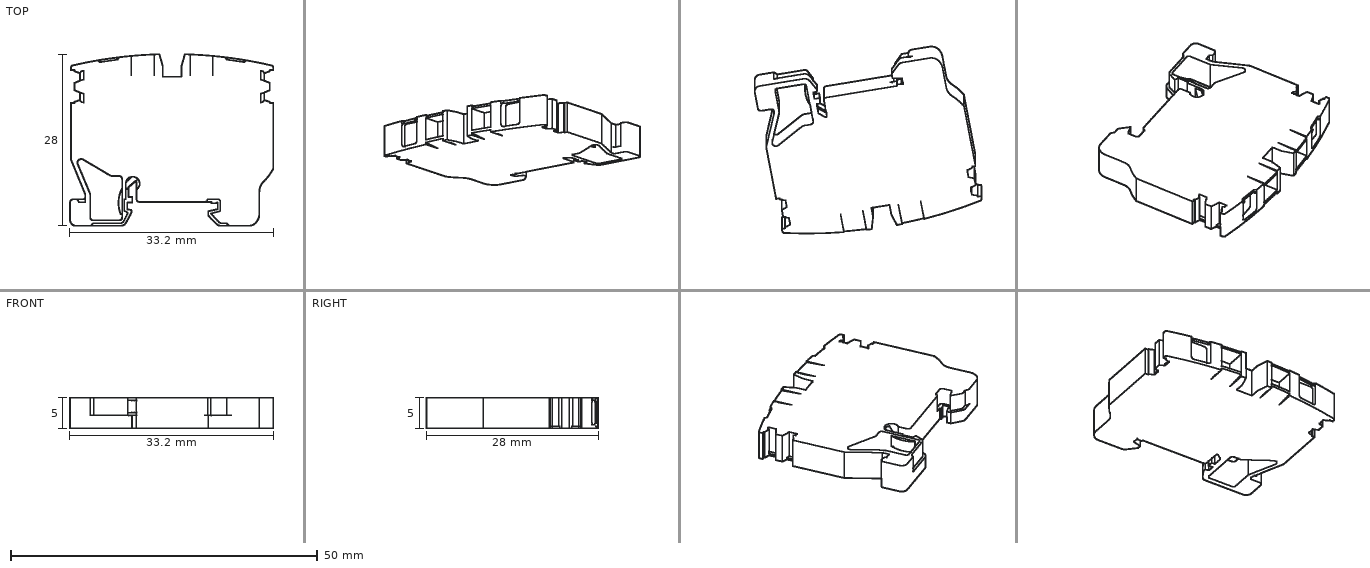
import cadquery as cq
import math

LENGTH = 33.2
HEIGHT = 28.03
THICKNESS = 5.0
MARGIN = 2.0

BODY_LEFT = 0.15
CENTER_X = (BODY_LEFT + LENGTH) / 2
CROWN_RADIUS = 71.8
CROWN_TIP_RADIUS = 0.4
TIP_Y = 26.2
RAIL_Y = 3.9
FOOT_TOP_Y = 4.37
RIGHT_FOOT_X = 30.93

NOTCH_HALF_WIDTH = 1.5
NOTCH_MOUTH_HALF_WIDTH = 2.07
NOTCH_FLOOR_Y = 24.34
NOTCH_FLARE_Y = 26.04

GROOVE_MID_Y = 22.73
GROOVE_FLOOR_Z = 0.34
GROOVE_DEPTH = 1.47
UNDERCUT_DEPTH = 2.08

RECESS_Z = 2.1
WALL_STEP = 0.47

LATCH_INNER_X = 8.5
LATCH_RECESS_X = 9.1
SLOT_RIGHT_X = 10.86
SLOT_CAP_CENTER = (10.24, 6.89)
SLOT_CAP_RADIUS = 1.14
CLIP_Z = 2.57
CLIP_THICKNESS = 2.0

FOOT_POCKET_Z = 1.1
ARM_X = 2.48

ENTRY_INNER_OFFSET = 2.95
ENTRY_WIDTH = 3.69
ENTRY_FLOOR_Y = 24.56
ENTRY_Z = 0.8
ENTRY_HEIGHT = 3.65
LEAD_IN_TOP_DEPTH = 0.2
LEAD_IN_BOTTOM_DEPTH = 0.35

MARKER_LOW_Z = 0.58
MARKER_HIGH_Z = 4.55
MARKER_FLOOR_Y = 26.3
MARKER_CORNER_RADIUS = 0.45


def corner(vertex, before, after, radius):
    """Start, middle and end point of the tangent arc rounding one corner."""
    angle_in = math.atan2(before[1] - vertex[1], before[0] - vertex[0])
    angle_out = math.atan2(after[1] - vertex[1], after[0] - vertex[0])
    half = abs(math.remainder(angle_out - angle_in, 2 * math.pi)) / 2
    bisector = angle_in + math.remainder(angle_out - angle_in, 2 * math.pi) / 2

    def along(angle, distance):
        return (vertex[0] + distance * math.cos(angle), vertex[1] + distance * math.sin(angle))

    tangent_length = radius / math.tan(half)
    middle_distance = radius / math.sin(half) - radius
    return along(angle_in, tangent_length), along(bisector, middle_distance), along(angle_out, tangent_length)


def prism(points, z_low, z_high):
    """Extrude an outline of (x, y) or (x, y, corner radius) points."""
    arcs = []
    for index, point in enumerate(points):
        radius = point[2] if len(point) == 3 else 0
        if radius:
            arcs.append(corner(point, points[index - 1], points[(index + 1) % len(points)], radius))
        else:
            arcs.append((point,))
    sketch = cq.Workplane("XY").workplane(offset=z_low).moveTo(*arcs[0][-1])
    for arc in arcs[1:]:
        sketch = sketch.lineTo(*arc[0])
        if len(arc) == 3:
            sketch = sketch.threePointArc(arc[1], arc[2])
    if len(arcs[0]) == 3:
        sketch = sketch.lineTo(*arcs[0][0]).threePointArc(arcs[0][1], arcs[0][2])
    return sketch.close().extrude(z_high - z_low)


def both_sides(solid):
    """The solid together with its mirror image across the centre plane."""
    return solid.union(solid.mirror("YZ", (CENTER_X, 0, 0)))


def crown_y(x):
    """Height of the crown arc; the notch mouth corners are its highest points."""
    mouth_drop = CROWN_RADIUS - math.sqrt(CROWN_RADIUS**2 - NOTCH_MOUTH_HALF_WIDTH**2)
    drop = CROWN_RADIUS - math.sqrt(CROWN_RADIUS**2 - (x - CENTER_X) ** 2)
    return HEIGHT + mouth_drop - drop


def body():
    outline = [
        (0, 0, 1.0),
        (8.91, 0, 1.07),
        (10.12, 2.3, 0.1),
        (10.0, 2.62),
        (9.39, 2.72),
        (9.39, 3.8),
        (10.2, 3.8),
        (10.2, 4.75),
        (9.58, 4.75),
        (9.58, 6.4),
        (SLOT_RIGHT_X, 7.51, 0.2),
        (SLOT_RIGHT_X, RAIL_Y, 0.45),
        (23.08, RAIL_Y),
        (23.08, 3.67),
        (23.8, 3.67),
        (24.1, 3.82),
        (24.1, 2.75),
        (22.55, 2.4, 0.1),
        (22.55, 1.68),
        (24.22, 0, 0.9),
        (29.9, 0, 1.56),
        (RIGHT_FOOT_X, 1.2, 2.16),
        (RIGHT_FOOT_X, 6.5, 2.3),
        (32.4, 8.05, 7.0),
        (LENGTH, 9.3),
        (LENGTH, HEIGHT + MARGIN),
        (BODY_LEFT, HEIGHT + MARGIN),
        (BODY_LEFT, 10.83),
        (ARM_X, 5.15),
        (ARM_X, FOOT_TOP_Y, 0.3),
        (0, FOOT_TOP_Y, 0.55),
    ]
    crown_center_y = crown_y(CENTER_X) - CROWN_RADIUS
    crown = cq.Workplane("XY").center(CENTER_X, crown_center_y).circle(CROWN_RADIUS).extrude(THICKNESS)
    solid = prism(outline, 0, THICKNESS).intersect(crown)
    tips = cq.selectors.BoxSelector(
        (-MARGIN, TIP_Y - MARGIN, -MARGIN),
        (LENGTH + MARGIN, TIP_Y + MARGIN, THICKNESS + MARGIN),
    )
    return solid.edges("|Z").edges(tips).fillet(CROWN_TIP_RADIUS)


def crown_notch():
    half_outline = [
        (NOTCH_HALF_WIDTH, NOTCH_FLOOR_Y),
        (NOTCH_HALF_WIDTH, NOTCH_FLARE_Y),
        (NOTCH_MOUTH_HALF_WIDTH, HEIGHT),
        (NOTCH_MOUTH_HALF_WIDTH, HEIGHT + MARGIN),
    ]
    right = [(CENTER_X + x, y) for x, y in half_outline]
    left = [(CENTER_X - x, y) for x, y in reversed(half_outline)]
    return prism(right + left, 0, THICKNESS)


def side_grooves():
    """A double groove with a rib between, undercut above a thin bottom ledge."""
    mouth_half = 2.67
    floor_near, floor_far = 0.97, 2.17
    upper_half = [
        (0.57, 0.0),
        (0.57, 0.6),
        (GROOVE_DEPTH, floor_near),
        (GROOVE_DEPTH, floor_far),
        (0.56, 2.5),
        (0.56, mouth_half),
        (-MARGIN, mouth_half),
        (-MARGIN, 0.0),
    ]
    overlap_depth = GROOVE_DEPTH - 0.1
    undercut_half = [
        (overlap_depth, floor_near),
        (GROOVE_DEPTH, floor_near),
        (UNDERCUT_DEPTH, 1.15),
        (UNDERCUT_DEPTH, 2.6),
        (1.66, 2.48),
        (GROOVE_DEPTH, floor_far),
        (overlap_depth, floor_far),
    ]
    grooves = cq.Workplane("XY")
    for direction in (1, -1):
        for half, z_low in ((upper_half, 0), (undercut_half, GROOVE_FLOOR_Z)):
            outline = [(BODY_LEFT + depth, GROOVE_MID_Y + direction * y) for depth, y in half]
            grooves = grooves.union(prism(outline, z_low, THICKNESS))
    return both_sides(grooves)


def spring_window():
    """Through opening that frees the spring arm and the latch."""
    arm_inner_x = 3.33
    outline = [
        (arm_inner_x, 0.95, 0.4),
        (LATCH_INNER_X, 0.95, 0.4),
        (LATCH_INNER_X, 8.13, 0.5),
        (6.7, 8.13, 1.0),
        (0.6, 11.73, 0.6),
        (arm_inner_x, 5.2),
    ]
    return prism(outline, 0, THICKNESS)


def latch_recess():
    """Upper part of the latch set back from the lower outline, with a round slot end."""
    outline = [
        (3.35, -MARGIN),
        (3.35, 0),
        (3.85, WALL_STEP),
        (8.65, WALL_STEP, 0.5),
        (9.46, 2.15),
        (8.84, 2.49),
        (8.84, FOOT_TOP_Y),
        (LATCH_RECESS_X, FOOT_TOP_Y),
        (LATCH_RECESS_X, SLOT_CAP_CENTER[1]),
        (SLOT_RIGHT_X, SLOT_CAP_CENTER[1]),
        (SLOT_RIGHT_X, -MARGIN),
    ]
    cap = cq.Workplane("XY").workplane(offset=RECESS_Z).center(*SLOT_CAP_CENTER).circle(SLOT_CAP_RADIUS)
    return prism(outline, RECESS_Z, THICKNESS).union(cap.extrude(THICKNESS - RECESS_Z))


def spring_clip():
    """Slanted web across the round slot end and the bulge inside the window."""
    web = [(9.0, 6.98), (10.2, 8.14), (11.2, 7.69), (9.0, 5.8)]
    root_x = LATCH_INNER_X + 0.1
    bulge_end_y = 1.87
    bulge = (
        cq.Workplane("XY")
        .workplane(offset=CLIP_Z)
        .moveTo(root_x, 6.3)
        .threePointArc((7.9, 3.75), (8.28, bulge_end_y))
        .lineTo(root_x, bulge_end_y)
        .close()
        .extrude(CLIP_THICKNESS)
    )
    return prism(web, CLIP_Z, CLIP_Z + CLIP_THICKNESS).union(bulge)


def hook_recess():
    """Upper part of the fixed rail hook set back from the lower outline."""
    outline = [
        (21.9, RAIL_Y),
        (22.35, RAIL_Y, 0.48),
        (22.47, FOOT_TOP_Y),
        (24.55, FOOT_TOP_Y, 0.45),
        (24.55, 2.42, 0.2),
        (23.0, 2.02),
        (24.45, WALL_STEP, 0.45),
        (25.55, WALL_STEP),
        (25.85, 0, 0.8),
        (26.4, 0),
        (26.4, -MARGIN),
        (21.9, -MARGIN),
    ]
    return prism(outline, RECESS_Z, THICKNESS)


def foot_pocket():
    """Shallow step in the top of the foot, beside the spring arm."""
    step_left_x = 1.15
    above_fillet_y = FOOT_TOP_Y + 0.5
    outline = [
        (step_left_x, FOOT_TOP_Y),
        (1.45, RAIL_Y),
        (ARM_X, RAIL_Y),
        (ARM_X, above_fillet_y),
        (step_left_x, above_fillet_y),
    ]
    return prism(outline, FOOT_POCKET_Z, THICKNESS)


def wire_entries():
    """Rectangular entries from the crown, with inclined faces above and below."""
    left_x = CENTER_X - ENTRY_INNER_OFFSET - ENTRY_WIDTH
    depth = HEIGHT - ENTRY_FLOOR_Y + MARGIN
    slope_scale = depth / (HEIGHT - ENTRY_FLOOR_Y)
    entry = cq.Workplane("XY").box(ENTRY_WIDTH, depth, ENTRY_HEIGHT, centered=False)
    entry = entry.translate((left_x, ENTRY_FLOOR_Y, ENTRY_Z))
    faces = ((THICKNESS, -LEAD_IN_TOP_DEPTH), (0, LEAD_IN_BOTTOM_DEPTH))
    for face_z, drop in faces:
        wedge = (
            cq.Workplane("YZ")
            .workplane(offset=left_x)
            .moveTo(ENTRY_FLOOR_Y, face_z)
            .lineTo(ENTRY_FLOOR_Y + depth, face_z)
            .lineTo(ENTRY_FLOOR_Y + depth, face_z + drop * slope_scale)
            .close()
            .extrude(ENTRY_WIDTH)
        )
        entry = entry.union(wedge)
    return both_sides(entry)


def marker_slots():
    """Pockets in the crown for marker tags, with a tapered mouth at the top face."""
    floor_left_x, floor_right_x = 4.88, 7.8
    mouth_left_x, mouth_right_x = 4.6, 8.05
    floor_depth = 0.37
    outline = [
        (floor_left_x, crown_y(floor_left_x) - floor_depth),
        (floor_right_x, crown_y(floor_right_x) - floor_depth),
        (mouth_right_x, crown_y(mouth_right_x)),
        (mouth_right_x, HEIGHT),
        (mouth_left_x, HEIGHT),
        (mouth_left_x, crown_y(mouth_left_x)),
    ]
    mouth = prism(outline, MARKER_HIGH_Z, THICKNESS)
    pocket = (
        cq.Workplane("XY")
        .box(
            mouth_right_x - mouth_left_x,
            HEIGHT - MARKER_FLOOR_Y,
            MARKER_HIGH_Z - MARKER_LOW_Z,
            centered=False,
        )
        .edges("|Y")
        .fillet(MARKER_CORNER_RADIUS)
        .translate((mouth_left_x, MARKER_FLOOR_Y, MARKER_LOW_Z))
    )
    return both_sides(mouth.union(pocket))


result = (
    body()
    .cut(crown_notch())
    .cut(side_grooves())
    .cut(spring_window())
    .cut(latch_recess())
    .union(spring_clip())
    .cut(hook_recess())
    .cut(foot_pocket())
    .cut(wire_entries())
    .cut(marker_slots())
)